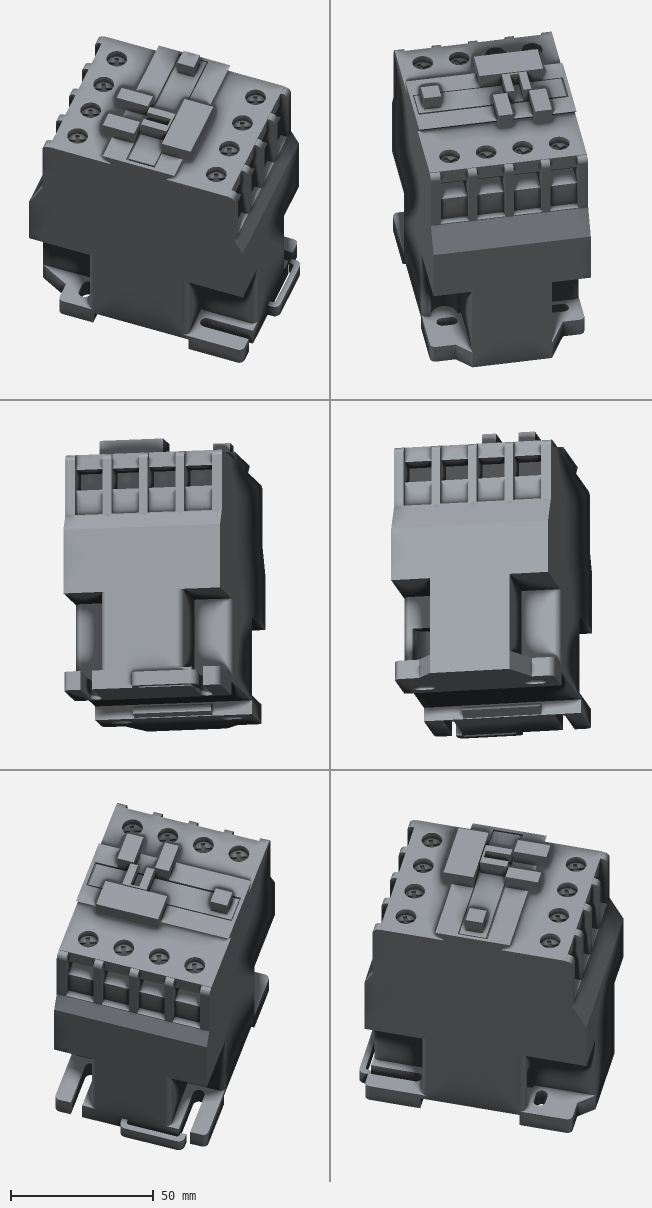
import cadquery as cq


depth = 56.0
base_length = 80.0
head_mid = 41.0
head_half = 36.0
left_shoulder_low = 53.4
right_shoulder_low = 57.3
shoulder_top = 62.6
deck_z = 84.8
plateau_z = 87.9
total_height = 93.0
plateau_half = 13.4
plateau_root_half = plateau_half - (plateau_z - deck_z)

channel_left = 24.1
channel_right = 59.8
channel_height = 4.9
hook_length = 27.9
hook_low = 0.3
hook_high = 4.4
left_hook_reach = 2.9
left_hook_bevel = 0.9
right_hook_reach = 3.3

left_recess_depth = 13.9
right_recess_depth = 13.4
recess_top = 34.6
foot_height = 6.7
left_recess_wall = 22.2
right_recess_wall = 59.4
corner_radius = 1.95
ear_front_x = 10.9
ear_front_knee = 7.9
ear_back_x = 5.4
ear_back_knee = 8.8
mount_inset = 3.8
mount_y = 8.2
mount_width = 4.2
mount_length = 7.5
driver_radius = 4.65
driver_y = 7.9
driver_top = 23.0

pole_count = 4
pole_pitch = 13.0
pole_width = 9.95
bay_wall_half = 33.5
bay_floor = 63.0
wire_low = 72.2
wire_high = 79.5
wire_depth = 8.4
rib_drop = 0.2
rib_radius = 2.0
screw_half = 25.95
well_radius = 3.6
well_depth = 2.8
cross_length = 5.95
cross_width = 1.5
cross_depth = 0.9
cross_angle = 22.0

groove_left = 35.8
groove_right = 46.6
groove_front = 1.3
groove_back = 54.8
groove_depth = 0.9
panel_left = 36.55
panel_right = 46.1
panel_front = 2.0
panel_back = 54.4

tab_left = 24.1
tab_spans = [(9.4, 15.3), (23.25, 28.3)]
cover_right = 57.4
cover_front = 8.4
cover_back = 31.1
slider_front = 14.4
slider_back = 23.25
slider_rail = 2.8
slider_web = 0.65
button_left = 38.2
button_front = 46.2
button_size = 6.1

loop_reach = 4.0
loop_front = 24.9
loop_back = 48.45
loop_bar = 2.0
loop_outer_radius = 2.2
loop_inner_radius = 1.0


def block(x0, x1, y0, y1, z0, z1):
    return cq.Workplane("XY").box(x1 - x0, y1 - y0, z1 - z0, centered=False).translate((x0, y0, z0))


def extrude_along_y(points, y0, y1):
    return cq.Workplane("XZ", origin=(0, y0, 0)).polyline(points).close().extrude(y0 - y1)


def flip_y(shape):
    """Mirror a shape about the mid-depth plane."""
    return shape.mirror("XZ", (0, depth / 2, 0))


def flip_head_x(shape):
    """Mirror a shape about the centre plane of the head."""
    return shape.mirror("YZ", (head_mid, 0, 0))


def make_housing():
    outline = [
        (0, 0),
        (channel_left, 0),
        (channel_left, channel_height),
        (channel_right, channel_height),
        (channel_right, 0),
        (base_length, 0),
        (base_length, right_shoulder_low),
        (head_mid + head_half, shoulder_top),
        (head_mid + head_half, deck_z),
        (head_mid + plateau_root_half, deck_z),
        (head_mid + plateau_half, plateau_z),
        (head_mid - plateau_half, plateau_z),
        (head_mid - plateau_root_half, deck_z),
        (head_mid - head_half, deck_z),
        (head_mid - head_half, shoulder_top),
        (0, left_shoulder_low),
    ]
    return extrude_along_y(outline, 0, depth)


def make_rib_trim():
    """Material above the rounded rib tops on the -X side."""
    outer = head_mid - head_half
    inner = head_mid - bay_wall_half
    top = deck_z - rib_drop
    rib_ends = block(outer, inner, 0, depth, shoulder_top, top)
    rib_ends = rib_ends.edges("|Y and <X and >Z").fillet(rib_radius)
    envelope = block(outer, inner, 0, depth, shoulder_top, deck_z)
    return envelope.cut(rib_ends)


def make_terminal_cut(y_mid):
    """Bay and wire entry of one -X terminal."""
    outer = head_mid - head_half
    wall = head_mid - bay_wall_half
    y0 = y_mid - pole_width / 2
    y1 = y_mid + pole_width / 2
    bay = block(outer, wall, y0, y1, bay_floor, deck_z)
    wire_entry = block(outer, wall + wire_depth, y0, y1, wire_low, wire_high)
    return bay.union(wire_entry)


def make_screw_cut(x_mid, y_mid):
    """Round screw well with a cross recess in its floor."""
    head_z = deck_z - well_depth
    well = cq.Workplane("XY", origin=(x_mid, y_mid, head_z)).circle(well_radius).extrude(well_depth)
    for angle in (cross_angle, cross_angle + 90):
        arm = cq.Workplane("XY").rect(cross_length, cross_width).extrude(cross_depth)
        arm = arm.rotate((0, 0, 0), (0, 0, 1), angle)
        well = well.union(arm.translate((x_mid, y_mid, head_z - cross_depth)))
    return well


def make_left_recess(ear_x, ear_knee):
    """Cut for a -X corner at the front face, leaving the foot with its oblong hole."""
    pocket = block(0, left_recess_wall, 0, left_recess_depth, foot_height, recess_top)
    ear = (
        cq.Workplane("XY")
        .moveTo(0, left_recess_depth)
        .lineTo(ear_x, ear_knee)
        .lineTo(ear_x, corner_radius)
        .radiusArc((ear_x + corner_radius, 0), -corner_radius)
        .lineTo(0, 0)
        .close()
        .extrude(foot_height)
    )
    hole = (
        cq.Workplane("XY", origin=(left_recess_wall - mount_inset, mount_y, 0))
        .slot2D(mount_length, mount_width, 90)
        .extrude(foot_height)
    )
    return pocket.union(ear).union(hole).union(make_wall_round(left_recess_wall, 1))


def make_right_recess():
    """Cut for a +X corner at the front face, leaving a foot with an open slot."""
    pocket = block(right_recess_wall, base_length, 0, right_recess_depth, foot_height, recess_top)
    slot_x = right_recess_wall + mount_inset
    slot = block(
        slot_x, base_length, mount_y - mount_width / 2, mount_y + mount_width / 2, 0, foot_height
    )
    slot_end = cq.Workplane("XY", origin=(slot_x, mount_y, 0)).circle(mount_width / 2).extrude(foot_height)
    foot_round = make_corner_round(base_length, 0, -1, 0, foot_height)
    post_round = make_corner_round(base_length, right_recess_depth, -1, foot_height, recess_top)
    cut = pocket.union(slot).union(slot_end).union(foot_round).union(post_round)
    return cut.union(make_wall_round(right_recess_wall, -1))


def make_corner_round(x, y, inward, z0, z1):
    """Waste outside a rounded vertical corner at (x, y); material lies inward in X and toward +Y."""
    return (
        cq.Workplane("XY", origin=(0, 0, z0))
        .moveTo(x, y)
        .lineTo(x + inward * corner_radius, y)
        .radiusArc((x, y + corner_radius), inward * corner_radius)
        .close()
        .extrude(z1 - z0)
    )


def make_wall_round(wall_x, inward):
    """Rounding where a recess wall meets the front face."""
    return make_corner_round(wall_x, 0, inward, foot_height, recess_top)


def make_driver_groove():
    """Half-round vertical groove in the back left recess wall."""
    return (
        cq.Workplane("XY", origin=(left_recess_wall, depth - driver_y, foot_height))
        .circle(driver_radius)
        .extrude(driver_top - foot_height)
    )


def make_rail_hooks():
    y0 = (depth - hook_length) / 2
    y1 = y0 + hook_length
    left_tip = channel_left + left_hook_reach
    left = [
        (channel_left, hook_low),
        (left_tip, hook_low + left_hook_bevel),
        (left_tip, hook_high - left_hook_bevel),
        (channel_left, hook_high),
    ]
    right = [
        (channel_right, hook_low),
        (channel_right, hook_high),
        (channel_right - right_hook_reach, (hook_low + hook_high) / 2),
    ]
    return extrude_along_y(left, y0, y1).union(extrude_along_y(right, y0, y1))


def make_panel_groove():
    """Narrow groove framing the centre panel."""
    floor = plateau_z - groove_depth
    frame = block(groove_left, groove_right, groove_front, groove_back, floor, plateau_z)
    return frame.cut(block(panel_left, panel_right, panel_front, panel_back, floor, plateau_z))


def make_top_blocks():
    """Tabs, cover, slider and button standing on the plateau."""
    z0 = plateau_z
    z1 = total_height
    cover = block(groove_right, cover_right, cover_front, cover_back, z0, z1)
    slider = block(panel_left, panel_right, slider_front, slider_back, z0, z1)
    slider_gap = block(
        panel_left, panel_right - slider_web, slider_front + slider_rail, slider_back - slider_rail, z0, z1
    )
    button = block(
        button_left, button_left + button_size, button_front, button_front + button_size, z0, z1
    )
    blocks = [cover, slider.cut(slider_gap), button]
    for front, back in tab_spans:
        blocks.append(block(tab_left, groove_left, front, back, z0, z1))
    return blocks


def make_release_loop():
    tip = base_length + loop_reach
    loop = block(base_length, tip, loop_front, loop_back, 0, channel_height)
    loop = loop.edges("|Z and >X").fillet(loop_outer_radius)
    opening = block(
        base_length, tip - loop_bar, loop_front + loop_bar, loop_back - loop_bar, 0, channel_height
    )
    return loop.cut(opening.edges("|Z and >X").fillet(loop_inner_radius))


result = make_housing()

rib_trim = make_rib_trim()
result = result.cut(rib_trim).cut(flip_head_x(rib_trim))
for pole in range(pole_count):
    pole_y = depth / 2 + (pole - (pole_count - 1) / 2) * pole_pitch
    terminal_cut = make_terminal_cut(pole_y)
    result = result.cut(terminal_cut).cut(flip_head_x(terminal_cut))
    for screw_x in (head_mid - screw_half, head_mid + screw_half):
        result = result.cut(make_screw_cut(screw_x, pole_y))

right_recess = make_right_recess()
result = result.cut(make_left_recess(ear_front_x, ear_front_knee))
result = result.cut(flip_y(make_left_recess(ear_back_x, ear_back_knee)))
result = result.cut(right_recess).cut(flip_y(right_recess))
result = result.cut(make_driver_groove())

result = result.cut(make_panel_groove())
for top_block in make_top_blocks():
    result = result.union(top_block)
result = result.union(make_rail_hooks()).union(make_release_loop())